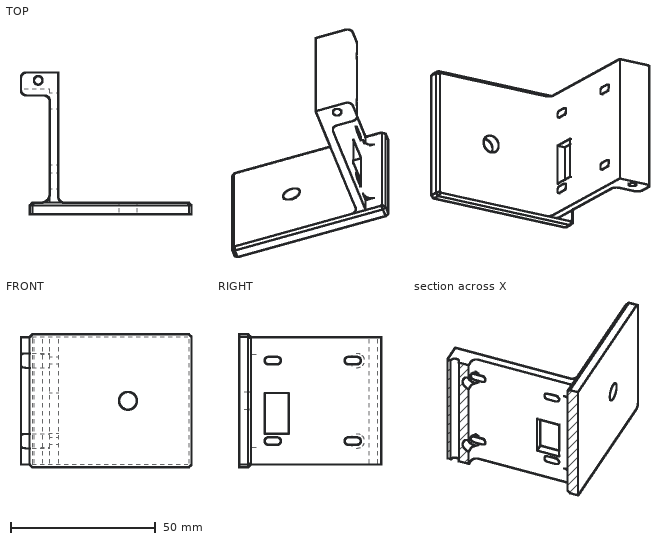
import cadquery as cq


total_width = 59.0
total_depth = 49.0
plate_height = 46.0

plate_left = 3.0
plate_thickness = 4.0
plate_chamfer = 1.0
plate_hole_diameter = 6.1
plate_hole_x = 37.0

wall_height = 44.0
wall_thickness = 3.0
block_width = 13.0
block_depth = 8.0
block_round = 2.0
wall_left = block_width - wall_thickness
block_front = total_depth - block_depth

left_fillet_radius = 3.0
left_fillet_length = 32.1
right_fillet_radius = 2.0

pin_diameter = 2.9
pin_x = 6.0
pin_y = total_depth - 2.8

slot_length = 5.5
slot_width = 2.5
slot_spacing_y = 27.6
slot_spacing_z = 27.8
rear_slot_y = total_depth - 9.85
front_slot_y = rear_slot_y - slot_spacing_y

clearance_diameter = 5.0
clearance_y = total_depth - 8.3

window_length = 8.25
window_height = 14.0
window_front = front_slot_y - slot_length / 2
window_center_z = -4.35


def make_plate():
    width = total_width - plate_left
    return (
        cq.Workplane("XY")
        .box(width, plate_thickness, plate_height, centered=(False, False, True))
        .translate((plate_left, 0, 0))
        .edges("|Y")
        .chamfer(plate_chamfer)
        .faces(">Y")
        .chamfer(plate_chamfer)
    )


def make_wall():
    """Wall and hinge block, extruded from one L-shaped outline."""
    wall = (
        cq.Workplane("XY")
        .moveTo(wall_left, plate_thickness)
        .lineTo(wall_left, block_front)
        .lineTo(0, block_front)
        .lineTo(0, total_depth)
        .lineTo(block_width, total_depth)
        .lineTo(block_width, plate_thickness)
        .close()
        .extrude(wall_height / 2, both=True)
    )
    wall = wall.edges("|Z and <X").fillet(block_round)
    inner_corner = cq.selectors.NearestToPointSelector((wall_left, block_front, 0))
    return wall.edges(inner_corner).fillet(block_round)


def make_root_fillet(wall_x, direction, radius, length):
    """Concave fillet from the plate's rear face up the wall, on one side."""
    corner = cq.Workplane("XY").box(radius, radius, length)
    corner = corner.translate(
        (wall_x + direction * radius / 2, plate_thickness + radius / 2, 0)
    )
    round_cut = (
        cq.Workplane("XY", origin=(0, 0, -length / 2))
        .center(wall_x + direction * radius, plate_thickness + radius)
        .circle(radius)
        .extrude(length)
    )
    return corner.cut(round_cut)


def cut_wall_openings(body):
    for y in (front_slot_y, rear_slot_y):
        slots = (
            cq.Workplane("YZ", origin=(wall_left, y, 0))
            .rarray(0.6, slot_spacing_z, 1, 2)
            .slot2D(slot_length, slot_width)
            .extrude(wall_thickness)
        )
        body = body.cut(slots)

    clearances = (
        cq.Workplane("YZ", origin=(0, clearance_y, 0))
        .rarray(0.6, slot_spacing_z, 1, 2)
        .circle(clearance_diameter / 2)
        .extrude(wall_left)
    )
    window = (
        cq.Workplane("YZ", origin=(wall_left, window_front + window_length / 2, window_center_z))
        .rect(window_length, window_height)
        .extrude(wall_thickness)
    )
    return body.cut(clearances).cut(window)


def make_pin_hole():
    return (
        cq.Workplane("XY")
        .center(pin_x, pin_y)
        .circle(pin_diameter / 2)
        .extrude(wall_height, both=True)
    )


def make_plate_hole():
    return (
        cq.Workplane("XZ")
        .center(plate_hole_x, 0)
        .circle(plate_hole_diameter / 2)
        .extrude(-plate_thickness)
    )


wall = cut_wall_openings(make_wall()).cut(make_pin_hole())
plate = make_plate().cut(make_plate_hole())
left_fillet = make_root_fillet(wall_left, -1, left_fillet_radius, left_fillet_length)
right_fillet = make_root_fillet(block_width, 1, right_fillet_radius, wall_height)
result = plate.union(wall).union(left_fillet).union(right_fillet)